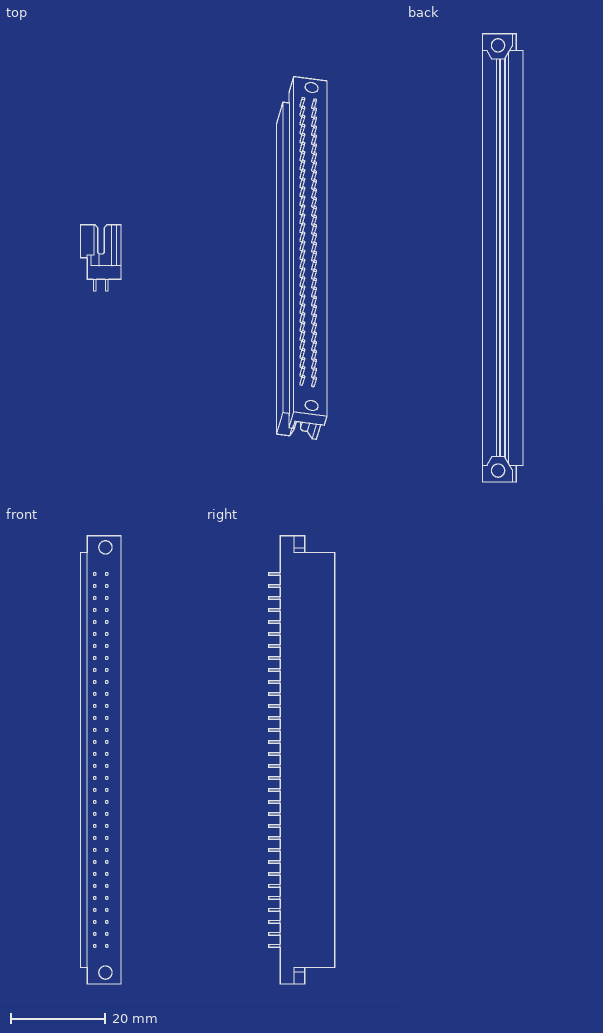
import cadquery as cq


length = 95.0
width = 8.6
body_depth = 11.6
pin_length = 2.5

base_left = 1.4
base_depth = 2.9
lip_thickness = 0.9
lip_depth = 5.2
hole_diameter = 2.8
hole_x = 5.3
hole_end_distance = 2.5

wall_start = 4.6
wall_thickness = 2.85
wall_end_gap = 3.5
floor_end_gap = 5.4
left_ramp_end = 4.0
right_ramp_start = 6.65
right_ramp_end = 7.7
slot_left = 3.7
slot_right = 5.0
slot_floor = 5.4
slot_floor_chamfer = 0.3
slot_mouth_flare = 0.6
slot_mouth_flare_depth = 0.7

pin_diameter = 0.6
pin_rows = 32
pin_pitch = 2.541
pin_columns = 2
pin_embed = 0.95

lip_right = base_left + lip_thickness
wall_half = length / 2 - wall_end_gap
floor_half = length / 2 - floor_end_gap


def block(x_start, x_end, y_start, y_end, half_height):
    """Box centred on Z = 0."""
    size = (x_end - x_start, y_end - y_start, 2 * half_height)
    return cq.Workplane("XY").box(*size, centered=(False, False, True)).translate((x_start, y_start, 0))


def extrude_along_y(points, y_start, y_end):
    """Prism between two Y positions from an outline of (x, z) points."""
    return cq.Workplane("XZ", origin=(0, y_start, 0)).polyline(points).close().extrude(y_start - y_end)


def make_base():
    base = block(base_left, width, 0, base_depth, length / 2)
    lip = block(base_left, lip_right, 0, lip_depth, length / 2)
    hole_offset = length / 2 - hole_end_distance
    holes = (
        cq.Workplane("XZ")
        .pushPoints([(hole_x, hole_offset), (hole_x, -hole_offset)])
        .circle(hole_diameter / 2)
        .extrude(-base_depth)
    )
    return base.union(lip).cut(holes)


def make_shroud():
    ramp_slope = (floor_end_gap - wall_end_gap) / (left_ramp_end - wall_thickness)
    lip_side_half = floor_half + ramp_slope * (left_ramp_end - lip_right)
    upper_end = [
        (lip_right, wall_half),
        (wall_thickness, wall_half),
        (left_ramp_end, floor_half),
        (right_ramp_start, floor_half),
        (right_ramp_end, wall_half),
        (width, wall_half),
    ]
    lower_end = [(x, -z) for x, z in reversed(upper_end)]
    core = extrude_along_y(upper_end + lower_end, base_depth, body_depth)
    ramp_foot = extrude_along_y(
        [
            (lip_right, lip_side_half),
            (left_ramp_end, floor_half),
            (left_ramp_end, -floor_half),
            (lip_right, -lip_side_half),
        ],
        base_depth,
        lip_depth,
    )
    wall = block(0, wall_thickness, wall_start, body_depth, wall_half)
    return core.union(ramp_foot).union(wall)


def make_slot():
    flare_start = body_depth - slot_mouth_flare_depth
    outline = [
        (slot_left + slot_floor_chamfer, slot_floor),
        (slot_left, slot_floor + slot_floor_chamfer),
        (slot_left, flare_start),
        (slot_left - slot_mouth_flare, body_depth),
        (slot_right + slot_mouth_flare, body_depth),
        (slot_right, flare_start),
        (slot_right, slot_floor + slot_floor_chamfer),
        (slot_right - slot_floor_chamfer, slot_floor),
    ]
    return cq.Workplane("XY").polyline(outline).close().extrude(length / 2, both=True)


def make_pins():
    return (
        cq.Workplane("XZ", origin=(width / 2, pin_embed, 0))
        .rarray(pin_pitch, pin_pitch, pin_columns, pin_rows)
        .circle(pin_diameter / 2)
        .extrude(pin_embed + pin_length)
    )


result = make_base().union(make_shroud()).cut(make_slot()).union(make_pins())